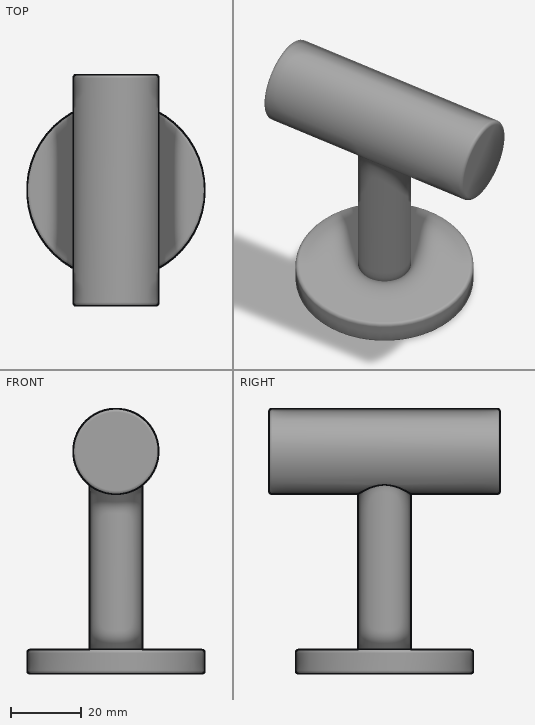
import cadquery as cq

total_height = 75.7
base_diameter = 50.8
base_thickness = 7.0
stem_diameter = 15.2
bar_diameter = 24.45
bar_length = 66.0
edge_radius = 1.0

bar_axis_height = total_height - bar_diameter / 2


def make_base():
    """Round foot with both rims rounded."""
    disc = cq.Workplane("XY").circle(base_diameter / 2).extrude(base_thickness)
    return disc.edges().fillet(edge_radius)


def make_stem():
    """Upright post from the foot to the axis of the bar."""
    return cq.Workplane("XY").circle(stem_diameter / 2).extrude(bar_axis_height)


def make_bar():
    """Horizontal bar along Y, centred over the stem, with rounded end rims."""
    bar = (
        cq.Workplane("XZ", origin=(0, bar_length / 2, bar_axis_height))
        .circle(bar_diameter / 2)
        .extrude(bar_length)
    )
    return bar.faces("<Y or >Y").edges().fillet(edge_radius)


result = make_base().union(make_stem()).union(make_bar())